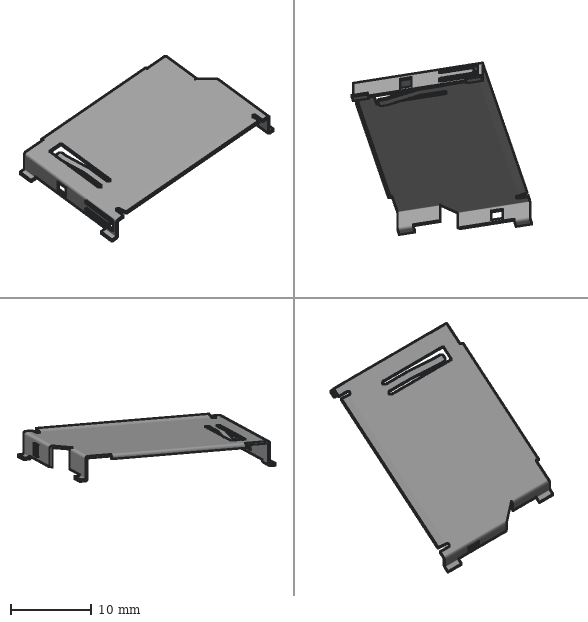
import cadquery as cq
import math

SHEET = 0.3
BEND_IN = 0.08
BEND_OUT = BEND_IN + SHEET
OVERLAP = 0.03

LENGTH = 27.9
WIDTH = 16.5
PLATE_TOP = 3.2
PLATE_BOTTOM = PLATE_TOP - SHEET

FOOT_LENGTH = 0.7
FOOT_WIDTH = 2.0
WALL_BOTTOM = 0.45
FRONT_WALL = FOOT_LENGTH
REAR_WALL = LENGTH - FOOT_LENGTH
STEP_WALL = REAR_WALL - 1.85
STEP_END = 5.45
SLANT_END = 7.17

FLANGE_START = 4.05
FLANGE_END = 21.99
FLANGE_REACH = 0.42
FLANGE_DROP = 0.55

LIP_WIDTH = 1.17
LIP_RISE = 0.28
LIP_START = 2.48
LIP_END = 25.5
RELIEF_WIDTH = 0.5
RELIEF_DEPTH = 1.48

TONGUE_WINDOW_LEFT = 1.98
TONGUE_ROOT = 10.96
TONGUE_CENTER_Y = 4.18
TONGUE_WINDOW_WIDTH = 2.0
TONGUE_WIDTH = 1.0
TONGUE_WINDOW_RADIUS = 0.08
TONGUE_TIP = 2.43
TONGUE_TIP_RADIUS = 0.33
LOWER_FOLD = 3.43
UPPER_FOLD = 7.62
TONGUE_DROP = 0.8

WINDOW_WIDTH = 1.48
WINDOW_BOTTOM = 0.9
WINDOW_TOP = 2.43
FRONT_WINDOW_LEFT = 5.97
REAR_WINDOW_LEFT = 11.52

FINGER_ROOT = 10.96
FINGER_END = 15.43
FINGER_BOTTOM = 1.53
FINGER_TOP = 2.35
FINGER_RADIUS = 0.4
FINGER_SLOT_RIGHT = 15.93
FINGER_SLOT_TOP = 2.85
FINGER_SLOT_RADIUS = 0.15


def box(x0, x1, y0, y1, z0, z1):
    """Axis-aligned box between two opposite corners."""
    return cq.Workplane("XY").box(x1 - x0, y1 - y0, z1 - z0, centered=False).translate((x0, y0, z0))


def quarter(profile, center, radius, start_angle, turn):
    """Add a quarter arc around a center, starting at an angle in degrees; turn is +1 or -1."""
    points = []
    for step in (45, 90):
        angle = math.radians(start_angle + turn * step)
        points.append((center[0] + radius * math.cos(angle), center[1] + radius * math.sin(angle)))
    return profile.threePointArc(*points)


def wall_strip(x0, x1):
    """Bend and wall facing +Y, with the outer face at Y = 0."""
    center = (-BEND_OUT, PLATE_TOP - BEND_OUT)
    profile = cq.Workplane("YZ", origin=(x0, 0, 0)).moveTo(-BEND_OUT, PLATE_TOP)
    profile = quarter(profile, center, BEND_OUT, 90, -1)
    profile = profile.lineTo(0, WALL_BOTTOM).lineTo(-SHEET, WALL_BOTTOM).lineTo(-SHEET, center[1])
    profile = quarter(profile, center, BEND_IN, 0, 1)
    profile = profile.lineTo(-BEND_OUT - OVERLAP, PLATE_BOTTOM).lineTo(-BEND_OUT - OVERLAP, PLATE_TOP)
    return profile.close().extrude(x1 - x0)


def foot(x0):
    """Outward foot below a wall whose outer face is at Y = 0."""
    center = (BEND_IN, BEND_OUT)
    profile = cq.Workplane("YZ", origin=(x0, 0, 0)).moveTo(0, WALL_BOTTOM + OVERLAP).lineTo(0, BEND_OUT)
    profile = quarter(profile, center, BEND_IN, 180, 1)
    profile = profile.lineTo(FOOT_LENGTH, SHEET).lineTo(FOOT_LENGTH, 0).lineTo(BEND_IN, 0)
    profile = quarter(profile, center, BEND_OUT, 270, -1)
    return profile.lineTo(-SHEET, WALL_BOTTOM + OVERLAP).close().extrude(FOOT_WIDTH)


def make_plate():
    """Flat plate up to the bend lines, with the slanted step in its rear edge."""
    front = FRONT_WALL + BEND_OUT
    outline = [
        (0, front),
        (WIDTH, front),
        (WIDTH, REAR_WALL - BEND_OUT),
        (SLANT_END, REAR_WALL - BEND_OUT),
        (STEP_END, STEP_WALL - BEND_OUT),
        (0, STEP_WALL - BEND_OUT),
    ]
    return cq.Workplane("XY", origin=(0, 0, PLATE_BOTTOM)).polyline(outline).close().extrude(SHEET)


def make_walls():
    """Front wall, rear wall and set-back rear wall with their feet."""
    right_foot = WIDTH - FOOT_WIDTH
    front = wall_strip(0, WIDTH).union(foot(0)).union(foot(right_foot))
    front = front.mirror("XZ").translate((0, FRONT_WALL, 0))
    step = wall_strip(0, STEP_END).union(foot(0)).translate((0, STEP_WALL, 0))
    rear = wall_strip(SLANT_END, WIDTH).union(foot(right_foot)).translate((0, REAR_WALL, 0))
    return front.union(step).union(rear.cut(slant_trim()))


def slant_trim():
    """Wedge that carries the slanted plate edge on through the rear wall."""
    bend_line = REAR_WALL - BEND_OUT
    slope = (SLANT_END - STEP_END) / (REAR_WALL - STEP_WALL)
    corners = [
        (SLANT_END, bend_line),
        (SLANT_END + slope * BEND_OUT, REAR_WALL),
        (SLANT_END, REAR_WALL),
    ]
    return cq.Workplane("XY").polyline(corners).close().extrude(PLATE_TOP)


def make_flange():
    """Left flange rolled down from the plate edge."""
    center = (0, PLATE_TOP - FLANGE_REACH)
    inner = FLANGE_REACH - SHEET
    bottom = PLATE_TOP - FLANGE_DROP
    profile = cq.Workplane("XZ", origin=(0, FLANGE_START, 0))
    profile = profile.moveTo(OVERLAP, PLATE_TOP).lineTo(0, PLATE_TOP)
    profile = quarter(profile, center, FLANGE_REACH, 90, 1)
    profile = profile.lineTo(-FLANGE_REACH, bottom).lineTo(-inner, bottom).lineTo(-inner, center[1])
    profile = quarter(profile, center, inner, 180, -1)
    profile = profile.lineTo(OVERLAP, PLATE_BOTTOM).close()
    return profile.extrude(FLANGE_START - FLANGE_END)


def relief(y_center):
    """Round-ended relief slot running in from the right plate edge."""
    radius = RELIEF_WIDTH / 2
    center_x = WIDTH - RELIEF_DEPTH + radius
    slot = box(center_x, WIDTH, y_center - radius, y_center + radius, PLATE_BOTTOM, PLATE_TOP)
    end = cq.Workplane("XY", origin=(center_x, y_center, PLATE_BOTTOM)).circle(radius).extrude(SHEET)
    return slot.union(end)


def make_lip():
    """Lip tilted up along the right edge; its lower tip corner is flush with the plate edge."""
    fold = WIDTH - LIP_WIDTH
    tilt = math.atan2(LIP_RISE, LIP_WIDTH)
    lean = SHEET * math.sin(tilt)
    tip_top = (WIDTH - lean, PLATE_TOP + LIP_RISE)
    tip_bottom = (WIDTH, tip_top[1] - SHEET * math.cos(tilt))
    profile = [
        (fold - OVERLAP, PLATE_TOP),
        (fold, PLATE_TOP),
        tip_top,
        tip_bottom,
        (fold + lean / 2, PLATE_BOTTOM),
        (fold - OVERLAP, PLATE_BOTTOM),
    ]
    lip = cq.Workplane("XZ", origin=(0, LIP_START, 0)).polyline(profile).close()
    return lip.extrude(LIP_START - LIP_END)


def tongue_window():
    """Plate opening for the tongue: a wide slot with a rounded end on each side of the root."""
    half = TONGUE_WINDOW_WIDTH / 2
    slot = (TONGUE_WINDOW_WIDTH - TONGUE_WIDTH) / 2
    end_x = TONGUE_ROOT - slot / 2
    y0 = TONGUE_CENTER_Y - half
    y1 = TONGUE_CENTER_Y + half
    opening = box(TONGUE_WINDOW_LEFT, end_x, y0, y1, PLATE_BOTTOM, PLATE_TOP)
    opening = opening.edges("|Z and <X").fillet(TONGUE_WINDOW_RADIUS)
    ends = cq.Workplane("XY", origin=(end_x, TONGUE_CENTER_Y, PLATE_BOTTOM))
    offset = (TONGUE_WIDTH + slot) / 2
    ends = ends.pushPoints([(0, -offset), (0, offset)]).circle(slot / 2).extrude(SHEET)
    return opening.union(ends)


def make_tongue():
    """Tongue that slopes down from the plate to a flat, rounded tip."""
    upper = [
        (TONGUE_ROOT, PLATE_TOP),
        (UPPER_FOLD, PLATE_TOP),
        (LOWER_FOLD, PLATE_TOP - TONGUE_DROP),
        (TONGUE_TIP, PLATE_TOP - TONGUE_DROP),
    ]
    lower = [(x, z - SHEET) for x, z in reversed(upper)]
    back = TONGUE_CENTER_Y + TONGUE_WIDTH / 2
    tongue = cq.Workplane("XZ", origin=(0, back, 0)).polyline(upper + lower).close().extrude(TONGUE_WIDTH)
    return tongue.edges("|Z and <X").fillet(TONGUE_TIP_RADIUS)


def wall_window(x0, outer_face, inner_face):
    """Rectangular window through a wall."""
    return box(x0, x0 + WINDOW_WIDTH, outer_face, inner_face, WINDOW_BOTTOM, WINDOW_TOP)


def finger_cutout():
    """C-shaped opening with rounded root ends that frees the spring finger in the front wall."""
    y0 = FRONT_WALL
    y1 = FRONT_WALL + BEND_OUT
    middle = (FINGER_ROOT + FINGER_SLOT_RIGHT) / 2
    cutout = box(middle, FINGER_SLOT_RIGHT, y0, y1, WINDOW_BOTTOM, FINGER_SLOT_TOP)
    cutout = cutout.edges("|Y and >X").fillet(FINGER_SLOT_RADIUS)
    for z0, z1 in ((WINDOW_BOTTOM, FINGER_BOTTOM), (FINGER_TOP, FINGER_SLOT_TOP)):
        radius = (z1 - z0) / 2
        center_x = FINGER_ROOT + radius
        end = cq.Workplane("XZ", origin=(center_x, y1, z0 + radius)).circle(radius).extrude(y1 - y0)
        cutout = cutout.union(box(center_x, middle, y0, y1, z0, z1)).union(end)
    finger = box(FINGER_ROOT, FINGER_END, y0, y1, FINGER_BOTTOM, FINGER_TOP)
    return cutout.cut(finger.edges("|Y and >X").fillet(FINGER_RADIUS))


plate = make_plate().cut(tongue_window())
for slot_center in (LIP_START - RELIEF_WIDTH / 2, LIP_END + RELIEF_WIDTH / 2):
    plate = plate.cut(relief(slot_center))
plate = plate.cut(box(WIDTH - LIP_WIDTH, WIDTH, LIP_START, LIP_END, PLATE_BOTTOM, PLATE_TOP))

walls = make_walls()
walls = walls.cut(wall_window(FRONT_WINDOW_LEFT, FRONT_WALL, FRONT_WALL + SHEET))
walls = walls.cut(wall_window(REAR_WINDOW_LEFT, REAR_WALL - SHEET, REAR_WALL))
walls = walls.cut(finger_cutout())

result = plate.union(walls).union(make_flange()).union(make_lip()).union(make_tongue())